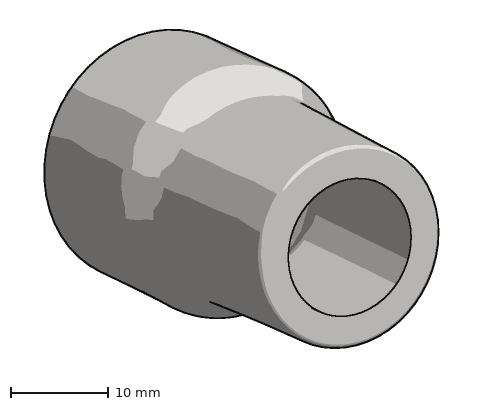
import cadquery as cq
import math

length = 40.0
barrel_length = 16.25
barrel_rim_radius = 13.3
barrel_shoulder_radius = 13.5
spigot_root_radius = 11.3
spigot_tip_radius = 10.8

socket_diameter = 20.7
passage_diameter = 14.65
socket_depth = 15.3
socket_radius = socket_diameter / 2
passage_radius = passage_diameter / 2

cone_angle = 30.0

rim_fillet = 0.5
bend_fillet = 2.0


def cone_length(large_radius, small_radius):
    """Axial length of a cone that narrows at the shared cone angle."""
    return (large_radius - small_radius) / math.tan(math.radians(cone_angle))


spigot_start = barrel_length + cone_length(barrel_shoulder_radius, spigot_root_radius)
passage_start = socket_depth + cone_length(socket_radius, passage_radius)


def revolve_profile(profile):
    """Solid of revolution about X from (x, radius) points, closed along the axis."""
    first_x = profile[0][0]
    last_x = profile[-1][0]
    outline = [(first_x, 0)] + profile + [(last_x, 0)]
    return cq.Workplane("XY").polyline(outline).close().revolve(360, (0, 0), (1, 0))


def fillet_at(body, x, max_radius, fillet_radius):
    """Round the circular edges that lie at one X station, within a maximum radius."""
    half_slab = 0.05
    reach = max_radius + half_slab
    station_box = cq.selectors.BoxSelector(
        (x - half_slab, -reach, -reach),
        (x + half_slab, reach, reach),
        boundingbox=True,
    )
    return body.edges(station_box).fillet(fillet_radius)


def make_outside():
    """Solid outer shape with rounded rims and shoulder bends."""
    body = revolve_profile([
        (0, barrel_rim_radius),
        (barrel_length, barrel_shoulder_radius),
        (spigot_start, spigot_root_radius),
        (length, spigot_tip_radius),
    ])
    body = fillet_at(body, 0, barrel_rim_radius, rim_fillet)
    body = fillet_at(body, barrel_length, barrel_shoulder_radius, bend_fillet)
    body = fillet_at(body, spigot_start, spigot_root_radius, bend_fillet)
    return fillet_at(body, length, spigot_tip_radius, rim_fillet)


def make_bore():
    """Through bore with rounded bends at both ends of the throat."""
    bore = revolve_profile([
        (0, socket_radius),
        (socket_depth, socket_radius),
        (passage_start, passage_radius),
        (length, passage_radius),
    ])
    bore = fillet_at(bore, socket_depth, socket_radius, bend_fillet)
    return fillet_at(bore, passage_start, passage_radius, bend_fillet)


adapter = make_outside().cut(make_bore())
result = fillet_at(adapter, 0, socket_radius, rim_fillet)